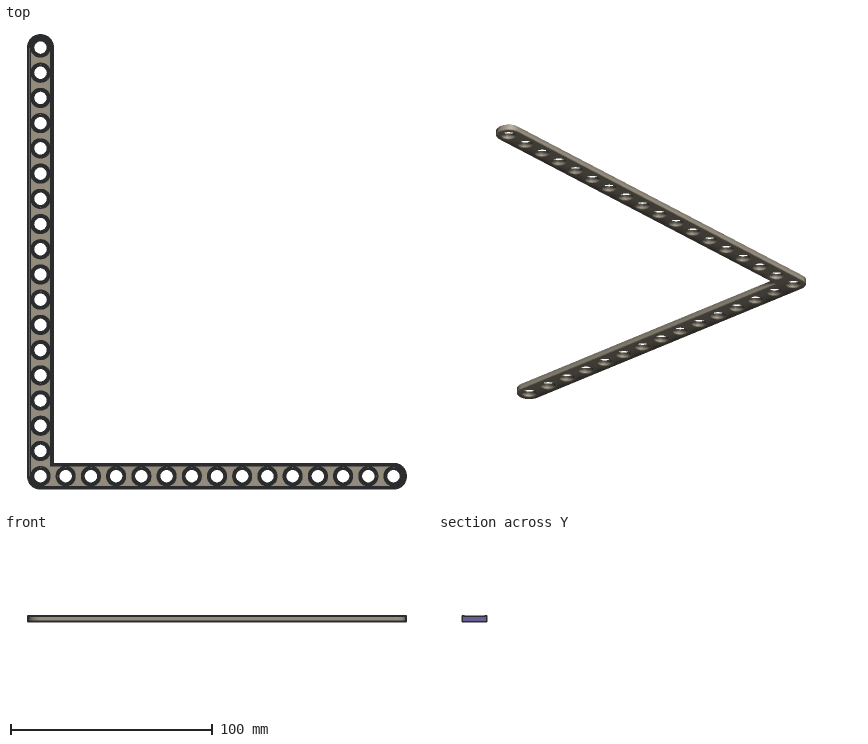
import cadquery as cq

pitch = 12.5
thickness = pitch / 4
holes_along_x = 15
holes_along_y = 18
hole_diameter = 7.0
collar_diameter = 9.2
recess_depth = 0.2
edge_chamfer = 0.3

rim_width = (collar_diameter - hole_diameter) / 2
reach_x = (holes_along_x - 1) * pitch
reach_y = (holes_along_y - 1) * pitch
recess_floor = thickness - recess_depth


def l_plate(width, bottom, height):
    """L-shaped plate of two round-ended arms, corner hole centred on the origin."""
    base = cq.Workplane("XY", origin=(0, 0, bottom))
    x_arm = base.center(reach_x / 2, 0).slot2D(reach_x + width, width).extrude(height)
    y_arm = base.center(0, reach_y / 2).slot2D(reach_y + width, width, 90).extrude(height)
    return x_arm.union(y_arm).clean()


def hole_centres():
    """Centres along the X arm, then up the Y arm without repeating the corner."""
    x_arm = [(i * pitch, 0) for i in range(holes_along_x)]
    y_arm = [(0, i * pitch) for i in range(1, holes_along_y)]
    return x_arm + y_arm


def cylinders(diameter, bottom, height):
    """One upright cylinder at every hole centre."""
    base = cq.Workplane("XY", origin=(0, 0, bottom))
    return base.pushPoints(hole_centres()).circle(diameter / 2).extrude(height)


def make_body():
    """Plate with its top and bottom outline edges bevelled."""
    return l_plate(pitch, 0, thickness).faces("<Z or >Z").edges().chamfer(edge_chamfer)


def make_recess():
    """Material sunk into the top face, leaving the rim and the hole collars."""
    sunken_area = l_plate(pitch - 2 * rim_width, recess_floor, recess_depth)
    collars = cylinders(collar_diameter, recess_floor, recess_depth)
    return sunken_area.cut(collars)


def hole_mouths(face_height, inward):
    """Cones that bevel the hole edges at one face, narrowing into the plate."""
    bore_radius = hole_diameter / 2
    mouth_radius = bore_radius + edge_chamfer
    inward_axis = cq.Vector(0, 0, inward)
    cones = [
        cq.Solid.makeCone(mouth_radius, bore_radius, edge_chamfer, cq.Vector(x, y, face_height), inward_axis)
        for x, y in hole_centres()
    ]
    return cq.Workplane(cq.Compound.makeCompound(cones))


def make_holes():
    """Through holes with bevelled mouths at both faces."""
    bores = cylinders(hole_diameter, 0, thickness)
    return bores.union(hole_mouths(0, 1)).union(hole_mouths(thickness, -1))


result = make_body().cut(make_recess()).cut(make_holes())